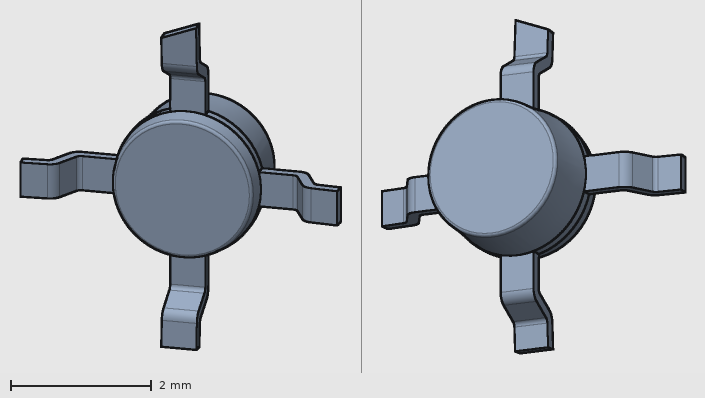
import cadquery as cq
import math


seam_radius = 1.08
front_height = 0.295
front_draft = 10.0
rear_height = 0.855
rear_radius = 1.01
rear_hollow = 0.012
cap_round = 0.05

frame_thickness = 0.175
lead_width = 0.515
lead_span = 4.68
overall_length = 4.88
lead_reach = lead_span / 2
slanted_lead_reach = overall_length - lead_reach
foot_standoff = 0.195
bend_start = 1.6
leg_angle = 63.0
foot_angle = 4.0
inside_bend_radius = 0.085
outside_bend_radius = 0.185

leg_slope = math.tan(math.radians(leg_angle))
foot_slope = math.tan(math.radians(foot_angle))


def make_front_cap():
    """Tapered disc with a rounded front rim."""
    front_radius = seam_radius - front_height * math.tan(math.radians(front_draft))
    cap = (
        cq.Workplane("XY")
        .moveTo(0, 0)
        .lineTo(seam_radius, 0)
        .lineTo(front_radius, -front_height)
        .lineTo(0, -front_height)
        .close()
        .revolve(360, (0, 0), (0, 1))
    )
    return cap.faces("<Y").edges().fillet(cap_round)


def make_rear_cap():
    """Tall cap with a slightly concave wall and a rounded rear rim."""
    seam_y = frame_thickness
    rear_y = seam_y + rear_height
    middle_radius = (seam_radius + rear_radius) / 2 - rear_hollow
    middle_y = (seam_y + rear_y) / 2
    cap = (
        cq.Workplane("XY")
        .moveTo(0, seam_y)
        .lineTo(seam_radius, seam_y)
        .threePointArc((middle_radius, middle_y), (rear_radius, rear_y))
        .lineTo(0, rear_y)
        .close()
        .revolve(360, (0, 0), (0, 1))
    )
    return cap.faces(">Y").edges().fillet(cap_round)


def foot_corners(reach):
    """Rear and front corners of the foot end, which is square to the foot."""
    foot_turn = math.radians(foot_angle)
    front_x = reach - frame_thickness * math.sin(foot_turn)
    front_y = -front_height - foot_standoff - foot_slope * (reach - lead_reach)
    rear_y = front_y + frame_thickness * math.cos(foot_turn)
    return (reach, rear_y), (front_x, front_y)


def second_bend(first_bend, foot_point):
    """Sharp corner where the leg from first_bend meets the foot through foot_point."""
    bend_x, bend_y = first_bend
    foot_x, foot_y = foot_point
    x = (leg_slope * bend_x - foot_slope * foot_x + bend_y - foot_y) / (leg_slope - foot_slope)
    return x, bend_y - leg_slope * (x - bend_x)


def make_lead(reach):
    """Gull-wing lead along +X, starting at the package axis; all leads share the same bends."""
    rear_tip, front_tip = foot_corners(reach)
    front_bend_1 = (bend_start, 0)
    rear_bend_1 = (
        bend_start + frame_thickness * math.tan(math.radians(leg_angle / 2)),
        frame_thickness,
    )
    front_bend_2 = second_bend(front_bend_1, front_tip)
    rear_bend_2 = second_bend(rear_bend_1, rear_tip)

    outline = [
        (0, 0), front_bend_1, front_bend_2, front_tip,
        rear_tip, rear_bend_2, rear_bend_1, (0, frame_thickness),
    ]
    lead = cq.Workplane("XY").polyline(outline).close().extrude(lead_width / 2, both=True)
    bends = [
        (front_bend_1, inside_bend_radius),
        (rear_bend_1, outside_bend_radius),
        (front_bend_2, outside_bend_radius),
        (rear_bend_2, inside_bend_radius),
    ]
    for (x, y), radius in bends:
        bend_edge = cq.selectors.NearestToPointSelector((x, y, 0))
        lead = lead.edges("|Z").edges(bend_edge).fillet(radius)
    return lead


def make_slanted_lead():
    """Longer lead whose tip is cut at a slant, down to the reach of the plain leads."""
    lead = make_lead(slanted_lead_reach)
    half_width = lead_width / 2
    (tip_x, tip_y), _ = foot_corners(slanted_lead_reach)
    cut_end_x = tip_x + frame_thickness
    tip_cut = (
        cq.Workplane("XZ", origin=(0, tip_y, 0))
        .polyline([
            (lead_reach, half_width),
            (tip_x, -half_width),
            (cut_end_x, -half_width),
            (cut_end_x, half_width),
        ])
        .close()
        .extrude(2 * frame_thickness, both=True)
        .rotate((tip_x, tip_y, 0), (tip_x, tip_y, 1), -foot_angle)
    )
    return lead.cut(tip_cut)


def make_lead_frame():
    """Disc between the caps with four leads, the slanted one along +Z."""
    frame = cq.Workplane("XZ").circle(seam_radius).extrude(-frame_thickness)
    for turn in (0, 90, 180):
        frame = frame.union(make_lead(lead_reach).rotate((0, 0, 0), (0, 1, 0), turn))
    return frame.union(make_slanted_lead().rotate((0, 0, 0), (0, 1, 0), -90))


front_cap = make_front_cap()
lead_frame = make_lead_frame()
rear_cap = make_rear_cap()

result = cq.Compound.makeCompound([front_cap.val(), lead_frame.val(), rear_cap.val()])